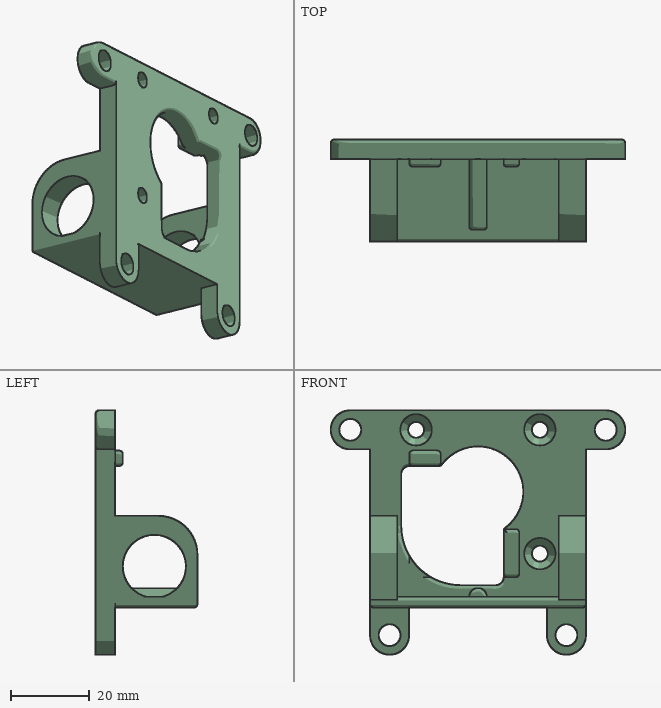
import cadquery as cq

plate_thickness = 5.0
body_half_width = 27.5
lug_radius = 5.0
lug_hole_diameter = 5.5
upper_lug_x = 32.5
upper_lug_z = 15.75
lower_lug_x = body_half_width - lug_radius
lower_lug_z = -36.5
back_edge_radius = 1.0

screw_offset = 15.75
screw_hole_diameter = 4.0
screw_head_diameter = 8.0
screw_head_angle = 90.0

bore_radius = 11.5
window_left = -19.5
window_right = 6.5
window_top = 6.5
window_bottom = -23.75
window_small_radius = 2.0
window_large_radius = 15.0
window_edge_radius = 1.0
meeting_corner_radius = 1.0
frame_margin = 5.0
pick_margin = 0.1

tab_width = 4.0
tab_height = 2.0
tab_edge_radius = 0.99
top_tab_left = window_left + window_small_radius
side_tab_bottom = window_bottom + window_small_radius
tab_bore_gap = (bore_radius**2 - window_top**2) ** 0.5

shelf_depth = 21.0
shelf_top = -26.75
shelf_thickness = 2.75
shelf_bottom = shelf_top - shelf_thickness
shelf_edge_radius = 1.0

cheek_thickness = 7.0
cheek_top = -6.1
cheek_bottom = -27.5
cheek_corner_radius = 10.0
cheek_bore_diameter = 16.0
cheek_bore_y = -10.0
cheek_bore_z = -19.0

pin_diameter = 4.5
pin_length = 18.0
pin_root = window_edge_radius
pin_tip_radius = 0.9


def block(x_min, x_max, y_min, y_max, z_min, z_max):
    """Box given by its limits along each axis."""
    return cq.Workplane("XY").box(
        x_max - x_min, y_max - y_min, z_max - z_min, centered=False
    ).translate((x_min, y_min, z_min))


def rod(x, z, diameter, y_front, y_back):
    """Cylinder parallel to Y."""
    return (
        cq.Workplane("XZ", origin=(x, y_back, z))
        .circle(diameter / 2)
        .extrude(y_back - y_front)
    )


def make_plate():
    """Plate with two upper and two lower lugs; the upper bar has a rounded rear edge."""
    upper = block(
        -upper_lug_x, upper_lug_x, 0, plate_thickness,
        upper_lug_z - lug_radius, upper_lug_z + lug_radius,
    )
    for side in (-1, 1):
        upper = upper.union(rod(side * upper_lug_x, upper_lug_z, 2 * lug_radius, 0, plate_thickness))
    body = block(
        -body_half_width, body_half_width, 0, plate_thickness,
        shelf_bottom, upper_lug_z,
    )
    upper = upper.faces(">Y").edges().fillet(back_edge_radius)
    plate = upper.union(body)
    for side in (-1, 1):
        x = side * lower_lug_x
        plate = plate.union(
            block(x - lug_radius, x + lug_radius, 0, plate_thickness, lower_lug_z, shelf_bottom)
        )
        plate = plate.union(rod(x, lower_lug_z, 2 * lug_radius, 0, plate_thickness))
    return plate


def cut_lug_holes(part):
    for x, z in ((upper_lug_x, upper_lug_z), (lower_lug_x, lower_lug_z)):
        for side in (-1, 1):
            part = part.cut(rod(side * x, z, lug_hole_diameter, 0, plate_thickness))
    return part


def cut_screw_holes(part):
    places = [
        (-screw_offset, screw_offset),
        (screw_offset, screw_offset),
        (screw_offset, -screw_offset),
    ]
    return (
        part.copyWorkplane(cq.Workplane("XZ"))
        .pushPoints(places)
        .cskHole(screw_hole_diameter, screw_head_diameter, screw_head_angle, plate_thickness)
    )


def make_window():
    """Window prism with one large and two small rounded corners."""
    window = block(window_left, window_right, 0, plate_thickness, window_bottom, window_top)
    window = window.edges("|Y and <X and <Z").fillet(window_large_radius)
    return window.edges("|Y").edges("(<X and >Z) or (>X and <Z)").fillet(window_small_radius)


def cut_opening(part):
    """Cut the merged bore and window, with rounded meeting corners and a rounded rear edge."""
    opening = make_window().union(rod(0, 0, 2 * bore_radius, 0, plate_thickness))
    meeting_corners = cq.selectors.BoxSelector(
        (-tab_bore_gap - pick_margin, 0, -tab_bore_gap - pick_margin),
        (window_right + pick_margin, plate_thickness, window_top + pick_margin),
    )
    opening = opening.edges("|Y").edges(meeting_corners).fillet(meeting_corner_radius)
    rear_rim = cq.selectors.BoxSelector(
        (window_left - pick_margin, plate_thickness - pick_margin, window_bottom - pick_margin),
        (bore_radius + pick_margin, plate_thickness + pick_margin, bore_radius + pick_margin),
    )
    return part.cut(opening).edges(rear_rim).fillet(window_edge_radius)


def round_window_front(part):
    """Round the front window edge on the left and bottom stretches between the two tabs."""
    frame = block(
        window_left - frame_margin, window_right + frame_margin, 0, plate_thickness,
        window_bottom - frame_margin, window_top + frame_margin,
    ).cut(make_window())
    rounded_frame = frame.edges("<Y").edges("%CIRCLE").fillet(window_edge_radius)
    waste = frame.cut(rounded_frame)
    left_side = block(
        window_left - frame_margin, top_tab_left, 0, plate_thickness,
        window_bottom - frame_margin, window_top + frame_margin,
    )
    bottom_side = block(
        window_left - frame_margin, window_right + frame_margin, 0, plate_thickness,
        window_bottom - frame_margin, side_tab_bottom,
    )
    return part.cut(waste.intersect(left_side.union(bottom_side)))


def add_tabs(part):
    top_tab = block(
        top_tab_left, -tab_bore_gap, -tab_height, 0,
        window_top, window_top + tab_width,
    )
    side_tab = block(
        window_right, window_right + tab_width, -tab_height, 0,
        side_tab_bottom, -tab_bore_gap,
    )
    top_tab = top_tab.edges("|Y or <Y").fillet(tab_edge_radius)
    side_tab = side_tab.edges("(|Y or <Y) exc (|Y and <X and >Z)").fillet(tab_edge_radius)
    return part.union(top_tab).union(side_tab)


def make_shelf():
    shelf = block(-body_half_width, body_half_width, -shelf_depth, 0, shelf_bottom, shelf_top)
    shelf = shelf.edges("<Z").edges("<Y or |Y").fillet(shelf_edge_radius)
    return shelf.edges(">Z and <Y").fillet(shelf_edge_radius)


def add_cheeks(part):
    for x_min in (-body_half_width, body_half_width - cheek_thickness):
        cheek = block(x_min, x_min + cheek_thickness, -shelf_depth, 0, cheek_bottom, cheek_top)
        cheek = cheek.edges("<Y and >Z").fillet(cheek_corner_radius)
        cheek_bore = (
            cq.Workplane("YZ", origin=(x_min, cheek_bore_y, cheek_bore_z))
            .circle(cheek_bore_diameter / 2)
            .extrude(cheek_thickness)
        )
        part = part.union(cheek.cut(cheek_bore))
    return part


def add_pin(part):
    pin = rod(0, shelf_top, pin_diameter, -pin_length, pin_root)
    pin = pin.faces("<Y").edges().fillet(pin_tip_radius)
    above_shelf_bottom = block(
        -pin_diameter, pin_diameter, -pin_length, pin_root,
        shelf_top - shelf_edge_radius, shelf_top + pin_diameter,
    )
    return part.union(pin.intersect(above_shelf_bottom))


result = make_plate()
result = cut_screw_holes(cut_lug_holes(result))
result = cut_opening(result)
result = round_window_front(result)
result = add_tabs(result)
result = result.union(make_shelf())
result = add_cheeks(result)
result = add_pin(result)